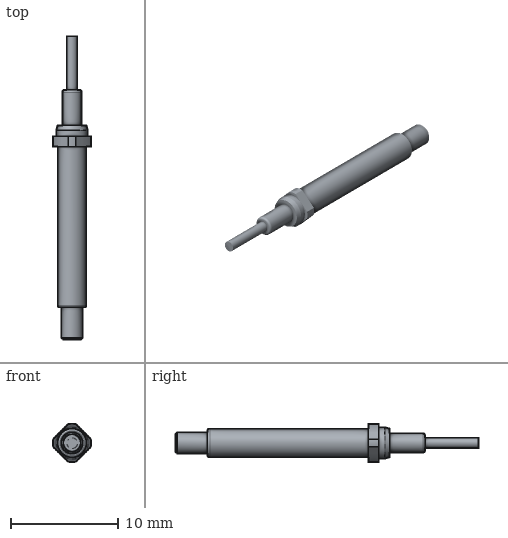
import cadquery as cq


total_length = 28.3

plunger_diameter = 2.0
plunger_length = 3.0

barrel_diameter = 2.7
barrel_length = 15.0

flange_width = 3.0
flange_corner_diameter = 3.6
flange_thickness = 1.0

collar_diameter = 2.97
collar_length = 1.0
collar_end_diameter = barrel_diameter
collar_taper_length = 0.45

sleeve_diameter = 1.8
sleeve_length = 3.3
pin_diameter = 1.0

tip_chamfer = 0.2
rim_radius = 0.2

barrel_start = plunger_length
flange_start = barrel_start + barrel_length
collar_start = flange_start + flange_thickness
sleeve_start = collar_start + collar_length
pin_start = sleeve_start + sleeve_length


def turned_section(diameter, start, end):
    """Plain round section of the probe between two places on the axis."""
    length = end - start
    return cq.Workplane("XZ", origin=(0, start, 0)).circle(diameter / 2).extrude(-length)


def square_flange():
    """Square plate standing on a corner, with its four corners rounded off."""
    square = cq.Workplane("XY").box(flange_width, flange_thickness, flange_width)
    diamond = square.rotate((0, 0, 0), (0, 1, 0), 45)
    diamond = diamond.translate((0, flange_start + flange_thickness / 2, 0))
    return diamond.intersect(turned_section(flange_corner_diameter, flange_start, collar_start))


def tapered_collar():
    """Round collar that narrows toward the sleeve."""
    taper_depth = (collar_diameter - collar_end_diameter) / 2
    collar = turned_section(collar_diameter, collar_start, sleeve_start)
    return collar.faces(">Y").chamfer(collar_taper_length, taper_depth)


plunger = turned_section(plunger_diameter, 0, barrel_start).faces("<Y").chamfer(tip_chamfer)
barrel = turned_section(barrel_diameter, barrel_start, flange_start).faces("<Y").fillet(rim_radius)
sleeve = turned_section(sleeve_diameter, sleeve_start, pin_start)
sleeve = sleeve.faces(">Y").fillet(rim_radius)
pin = turned_section(pin_diameter, pin_start, total_length)

result = (
    plunger
    .union(barrel)
    .union(square_flange())
    .union(tapered_collar())
    .union(sleeve)
    .union(pin)
)